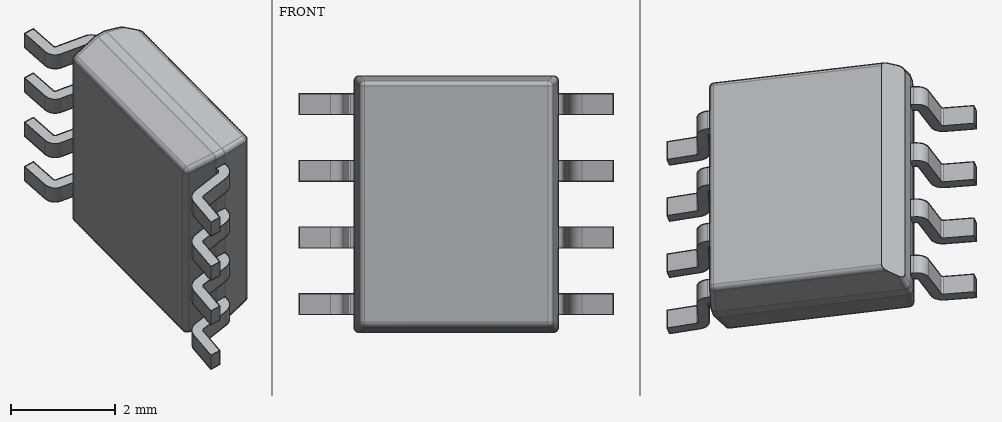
import cadquery as cq
import math


overall_length = 6.0
overall_depth = 1.75
housing_width = 3.9
housing_height = 4.9
housing_depth = 1.5
wall_draft = 10.0
edge_radius = 0.1
bevel_leg = 0.42

lead_thickness = 0.21
lead_width = 0.4
lead_pitch = 1.27
leads_per_side = 4
inner_bend_radius = 0.04
upper_bend_x = 2.05
leg_lean = 10.0
foot_tilt = 4.0

housing_back = overall_depth
housing_front = housing_back - housing_depth
housing_mid = (housing_front + housing_back) / 2
band_front = housing_mid - lead_thickness / 2
band_back = housing_mid + lead_thickness / 2
drafted_depth = (housing_depth - lead_thickness) / 2
outer_bend_radius = inner_bend_radius + lead_thickness
tip_x = overall_length / 2


def make_housing():
    """Block with a straight middle band, drafted front and back halves, rounded edges and a back bevel."""
    band = cq.Workplane("ZX", origin=(0, band_front, 0)).rect(housing_height, housing_width)
    band = band.extrude(lead_thickness)
    back_half = cq.Workplane("ZX", origin=(0, band_back, 0)).rect(housing_height, housing_width)
    back_half = back_half.extrude(drafted_depth, taper=wall_draft)
    front_half = cq.Workplane("XZ", origin=(0, band_front, 0)).rect(housing_width, housing_height)
    front_half = front_half.extrude(drafted_depth, taper=wall_draft)
    block = band.union(back_half).union(front_half)

    block = block.edges("(not (|X or |Z)) or >Y or <Y").fillet(edge_radius)

    side_x = -housing_width / 2
    bevel = (
        cq.Workplane("XY")
        .moveTo(side_x, housing_back)
        .lineTo(side_x + bevel_leg, housing_back)
        .lineTo(side_x, housing_back - bevel_leg)
        .close()
        .extrude(housing_height, both=True)
    )
    return block.cut(bevel)


def make_lead(z):
    """Gull-wing lead on the +X side, centred at height z, butting against the housing band."""
    lean_slope = math.tan(math.radians(leg_lean))
    tilt_slope = math.tan(math.radians(foot_tilt))
    leg_x_shift = lead_thickness / math.cos(math.radians(leg_lean))
    foot_y_shift = lead_thickness / math.cos(math.radians(foot_tilt))

    def leg_corner(leg_x, tip_y):
        """Crossing of a leg face, at leg_x where Y = band_front, with a foot face at tip_y at the tip."""
        run = tip_x - leg_x - (band_front - tip_y) * lean_slope
        x = tip_x - run / (1 - lean_slope * tilt_slope)
        return x, tip_y + (tip_x - x) * tilt_slope

    upper_inner = (upper_bend_x, band_front)
    upper_outer = (upper_bend_x + leg_x_shift - lead_thickness * lean_slope, band_back)
    lower_outer = leg_corner(upper_bend_x, 0)
    lower_inner = leg_corner(upper_bend_x + leg_x_shift, foot_y_shift)

    wall_x = housing_width / 2
    outline = [
        (wall_x, band_front),
        upper_inner,
        lower_outer,
        (tip_x, 0),
        (tip_x, foot_y_shift),
        lower_inner,
        upper_outer,
        (wall_x, band_back),
    ]
    lead = cq.Workplane("XY", origin=(0, 0, z)).polyline(outline).close()
    lead = lead.extrude(lead_width / 2, both=True)

    bends = [
        (upper_inner, inner_bend_radius),
        (lower_inner, inner_bend_radius),
        (upper_outer, outer_bend_radius),
        (lower_outer, outer_bend_radius),
    ]
    for (x, y), radius in bends:
        lead = lead.edges(cq.selectors.NearestToPointSelector((x, y, z))).fillet(radius)
    return lead


housing = make_housing()

leads = []
for row in range(leads_per_side):
    row_z = (row - (leads_per_side - 1) / 2) * lead_pitch
    right_lead = make_lead(row_z)
    left_lead = right_lead.mirror("YZ")
    leads += [right_lead.val(), left_lead.val()]

result = cq.Compound.makeCompound([housing.val(), *leads])